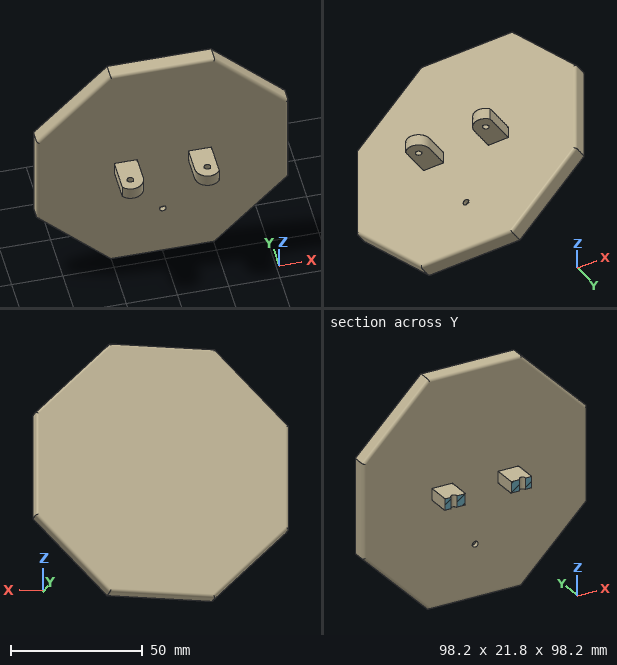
import cadquery as cq
import math

plate_sides = 8
plate_width = 98.2
plate_thickness = 6.9
edge_radius = 1.3

lug_reach = 14.9
lug_thickness = 5.0
lug_tip_radius = 5.0
lug_outer_offset = 3.9
lug_hole_spacing = 30.0

hole_diameter = 2.5

face_hole_drop = 26.0
face_hole_depth = 2.0


def make_plate():
    """Regular octagon with flat sides on the axes and rounded face edges."""
    corner_circle = plate_width / math.cos(math.pi / plate_sides)
    plate = (
        cq.Workplane("XZ")
        .transformed(rotate=(0, 0, 180 / plate_sides))
        .polygon(plate_sides, corner_circle)
        .extrude(-plate_thickness)
    )
    return plate.faces("<Y or >Y").edges().fillet(edge_radius)


def make_right_lug():
    """Round-tipped lug whose outer wall trims the tip arc short of tangency."""
    center_x = lug_hole_spacing / 2
    center_y = lug_tip_radius - lug_reach
    inner_x = center_x - lug_tip_radius
    outer_x = center_x + lug_outer_offset
    arc_drop = math.sqrt(lug_tip_radius**2 - lug_outer_offset**2)
    root_y = plate_thickness / 2
    lug = (
        cq.Workplane("XY")
        .moveTo(inner_x, root_y)
        .lineTo(inner_x, center_y)
        .threePointArc((center_x, -lug_reach), (outer_x, center_y - arc_drop))
        .lineTo(outer_x, root_y)
        .close()
        .extrude(lug_thickness / 2, both=True)
    )
    pin_hole = (
        cq.Workplane("XY")
        .center(center_x, center_y)
        .circle(hole_diameter / 2)
        .extrude(lug_thickness, both=True)
    )
    return lug.cut(pin_hole)


def make_face_hole():
    return (
        cq.Workplane("XZ")
        .center(0, -face_hole_drop)
        .circle(hole_diameter / 2)
        .extrude(-face_hole_depth)
    )


right_lug = make_right_lug()
left_lug = right_lug.mirror("YZ")
result = make_plate().union(right_lug).union(left_lug).cut(make_face_hole())